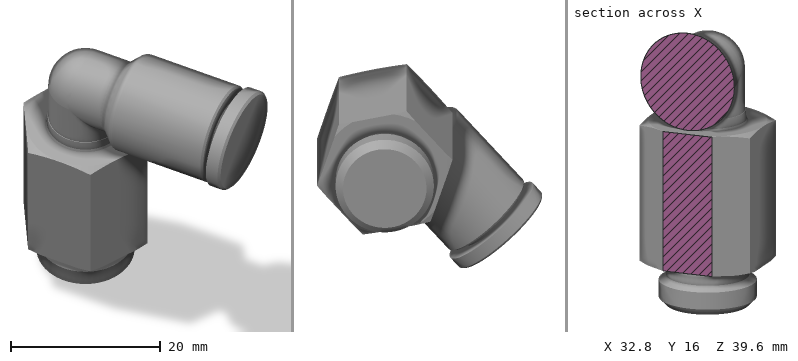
import cadquery as cq
import math

TOTAL_HEIGHT = 39.6
REACH = 23.6

HEX_FLATS = 16.0
HEX_BOTTOM = 6.0
HEX_TOP = 25.5
HEX_TOP_FACE_RADIUS = 7.95
HEX_BOTTOM_FACE_RADIUS = 8.47
HEX_CHAMFER_ANGLE = 19.0

THREAD_RADIUS = 6.57
NECK_RADIUS = 5.6
NECK_FLARE_RADIUS = 5.75
NECK_FLARE_HEIGHT = 0.55
THREAD_TOP = 3.35
NECK_BOTTOM = 4.05
TIP_CHAMFER = THREAD_RADIUS - NECK_RADIUS

ELBOW_RADIUS = 5.0
COLLAR_TOP = 26.95
COLLAR_TOP_RADIUS = 5.05
COLLAR_BOTTOM_RADIUS = 5.2
COLLAR_FOOT_RADIUS = 5.43
COLLAR_FOOT_HEIGHT = 0.25

SOCKET_RADIUS = 6.8
SOCKET_START = 4.67
SOCKET_END = 20.67
SOCKET_END_CHAMFER = 0.28
SHOULDER_ANGLE = math.radians(45)
SHOULDER_BLEND = 1.0
ELBOW_AXIS_HEIGHT = TOTAL_HEIGHT - SOCKET_RADIUS

SLEEVE_RADIUS = 4.8
BUTTON_START = 21.55
BUTTON_HALF_WIDTH = 7.5
BUTTON_HALF_HEIGHT = 6.5
BUTTON_CHAMFER = 0.3


def make_thread():
    """Turned lower end: chamfered thread, relief neck and flare into the hexagon."""
    profile = [
        (0, 0),
        (THREAD_RADIUS - TIP_CHAMFER, 0),
        (THREAD_RADIUS, TIP_CHAMFER),
        (THREAD_RADIUS, THREAD_TOP),
        (NECK_RADIUS, NECK_BOTTOM),
        (NECK_RADIUS, HEX_BOTTOM - NECK_FLARE_HEIGHT),
        (NECK_FLARE_RADIUS, HEX_BOTTOM),
        (0, HEX_BOTTOM),
    ]
    return cq.Workplane("XZ").polyline(profile).close().revolve(360, (0, 0), (0, 1))


def make_hexagon():
    """Hexagon with two corners on the X axis and its corners turned conically at both ends."""
    corner_radius = HEX_FLATS / math.sqrt(3)
    slope = math.tan(math.radians(HEX_CHAMFER_ANGLE))
    bottom_drop = (corner_radius - HEX_BOTTOM_FACE_RADIUS) * slope
    top_drop = (corner_radius - HEX_TOP_FACE_RADIUS) * slope
    envelope_profile = [
        (0, HEX_BOTTOM),
        (HEX_BOTTOM_FACE_RADIUS, HEX_BOTTOM),
        (corner_radius, HEX_BOTTOM + bottom_drop),
        (corner_radius, HEX_TOP - top_drop),
        (HEX_TOP_FACE_RADIUS, HEX_TOP),
        (0, HEX_TOP),
    ]
    envelope = cq.Workplane("XZ").polyline(envelope_profile).close().revolve(360, (0, 0), (0, 1))
    prism = (
        cq.Workplane("XY")
        .workplane(offset=HEX_BOTTOM)
        .polygon(6, 2 * corner_radius)
        .extrude(HEX_TOP - HEX_BOTTOM)
    )
    return prism.intersect(envelope)


def make_stem():
    """Vertical leg of the elbow with its tapered collar and a spherical outer corner."""
    profile = [
        (0, HEX_TOP),
        (COLLAR_FOOT_RADIUS, HEX_TOP),
        (COLLAR_BOTTOM_RADIUS, HEX_TOP + COLLAR_FOOT_HEIGHT),
        (COLLAR_TOP_RADIUS, COLLAR_TOP),
        (ELBOW_RADIUS, COLLAR_TOP),
        (ELBOW_RADIUS, ELBOW_AXIS_HEIGHT),
        (0, ELBOW_AXIS_HEIGHT),
    ]
    leg = cq.Workplane("XZ").polyline(profile).close().revolve(360, (0, 0), (0, 1))
    corner = cq.Workplane("XY").sphere(ELBOW_RADIUS).translate((0, 0, ELBOW_AXIS_HEIGHT))
    return leg.union(corner)


def make_socket():
    """Horizontal leg of the elbow, blended shoulder, tube socket and button sleeve."""
    half_angle = SHOULDER_ANGLE / 2
    blend_length = SHOULDER_BLEND * math.sin(SHOULDER_ANGLE)
    blend_rise = SHOULDER_BLEND * (1 - math.cos(SHOULDER_ANGLE))
    middle_length = SHOULDER_BLEND * math.sin(half_angle)
    middle_rise = SHOULDER_BLEND * (1 - math.cos(half_angle))
    cone_rise = SOCKET_RADIUS - ELBOW_RADIUS - 2 * blend_rise
    cone_length = cone_rise / math.tan(SHOULDER_ANGLE)
    shoulder_end = SOCKET_START + 2 * blend_length + cone_length

    return (
        cq.Workplane("XZ", origin=(0, 0, ELBOW_AXIS_HEIGHT))
        .lineTo(0, ELBOW_RADIUS)
        .lineTo(SOCKET_START, ELBOW_RADIUS)
        .threePointArc(
            (SOCKET_START + middle_length, ELBOW_RADIUS + middle_rise),
            (SOCKET_START + blend_length, ELBOW_RADIUS + blend_rise),
        )
        .lineTo(shoulder_end - blend_length, SOCKET_RADIUS - blend_rise)
        .threePointArc(
            (shoulder_end - middle_length, SOCKET_RADIUS - middle_rise),
            (shoulder_end, SOCKET_RADIUS),
        )
        .lineTo(SOCKET_END - SOCKET_END_CHAMFER, SOCKET_RADIUS)
        .lineTo(SOCKET_END, SOCKET_RADIUS - SOCKET_END_CHAMFER)
        .lineTo(SOCKET_END, SLEEVE_RADIUS)
        .lineTo(BUTTON_START, SLEEVE_RADIUS)
        .lineTo(BUTTON_START, 0)
        .close()
        .revolve(360, (0, 0), (1, 0))
    )


def make_button():
    """Elliptical release button, wider along Y than along Z."""
    return (
        cq.Workplane("YZ", origin=(BUTTON_START, 0, ELBOW_AXIS_HEIGHT))
        .ellipse(BUTTON_HALF_WIDTH, BUTTON_HALF_HEIGHT)
        .extrude(REACH - BUTTON_START)
        .faces(">X")
        .chamfer(BUTTON_CHAMFER)
    )


result = (
    make_thread()
    .union(make_hexagon())
    .union(make_stem())
    .union(make_socket())
    .union(make_button())
)